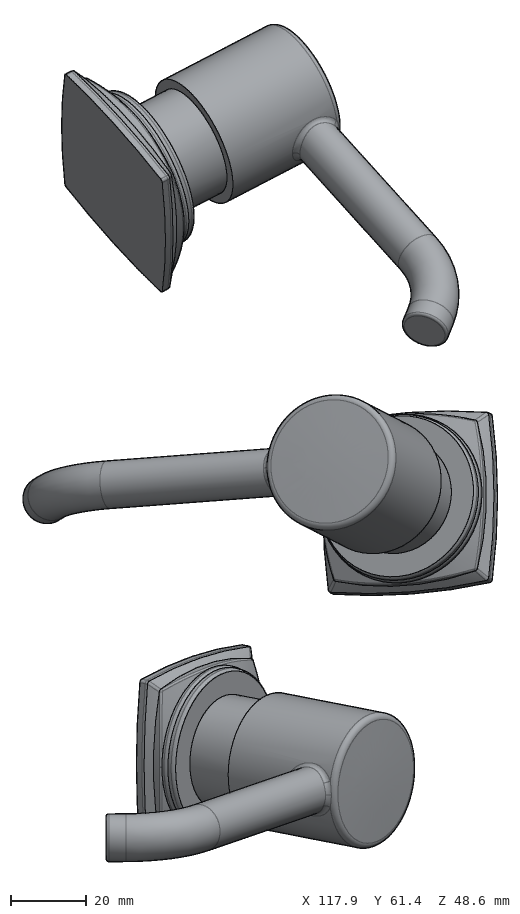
import math
import cadquery as cq


PLATE_HALF = 24.305
PLATE_BOW = 1.6
CORNER_RADIUS = 0.9
RIM_HEIGHT = 1.8
RIM_TOP = 2.5
RIM_TAPER = 0.1
SHOULDER_HEIGHT = 4.6
WALL_HALF = 22.9
WALL_BOW = 2.7
ARCH_FILLET = 0.6
PLATE_OUTLINE = (PLATE_HALF, PLATE_BOW)
RIM_TOP_OUTLINE = (PLATE_HALF - RIM_TAPER, PLATE_BOW)
WALL_OUTLINE = (WALL_HALF, WALL_BOW)

COLLAR_BASE = 7.15
COLLAR_BASE_RADIUS = 22.6
COLLAR_TIERS = [(7.85, 8.9, 22.25), (9.95, 11.0, 21.65)]
COLLAR_TOP = COLLAR_TIERS[-1][1]
SKIRT_RADIUS = 30.0
SKIRT_TOP = 7.4
SKIRT_TOP_RADIUS = 22.0

NECK_RADIUS = 15.4
HEAD_RADIUS = 18.2
HEAD_BOTTOM = 25.8
HEAD_SHOULDER = 60.9
HEAD_TOP = 61.37
HEAD_EDGE_RADIUS = 1.6

SPOUT_RADIUS = 6.35
SPOUT_HEIGHT = 52.6
BEND_START = 65.7
BEND_RADIUS = 25.4
BEND_ANGLE = 52.0
TIP_LENGTH = 5.2
TIP_FILLET = 0.7
SPOUT_FILLET = 1.4


def bowed_square(height, half, bow):
    """Closed wire at the given height: a square with bowed sides and rounded corners."""
    corner = half - bow
    corners = [(-corner, -corner), (corner, -corner), (corner, corner), (-corner, corner)]
    middles = [(0, -half), (half, 0), (0, half), (-half, 0)]
    sketch = cq.Workplane("XZ", origin=(0, height, 0)).moveTo(*corners[0])
    for index, middle in enumerate(middles):
        sketch = sketch.threePointArc(middle, corners[(index + 1) % len(corners)])
    wire = sketch.close().wire().val()
    return wire.fillet2D(CORNER_RADIUS, wire.Vertices())


def bowed_block(bottom, bottom_outline, top, top_outline):
    """Solid between two bowed squares, each outline given as (half width, bow)."""
    wires = [bowed_square(bottom, *bottom_outline), bowed_square(top, *top_outline)]
    return cq.Workplane(cq.Solid.makeLoft(wires, True))


def make_plate():
    rim = bowed_block(0, PLATE_OUTLINE, RIM_HEIGHT, PLATE_OUTLINE)
    taper = bowed_block(RIM_HEIGHT, PLATE_OUTLINE, RIM_TOP, RIM_TOP_OUTLINE)
    flare = bowed_block(RIM_TOP, RIM_TOP_OUTLINE, SHOULDER_HEIGHT, WALL_OUTLINE)
    return rim.union(taper).union(flare)


def make_skirt():
    """Upright bowed wall trimmed by a cone, which leaves an arch on each side."""
    wall = bowed_block(SHOULDER_HEIGHT, WALL_OUTLINE, SKIRT_TOP, WALL_OUTLINE)
    cone = (
        cq.Workplane("XY")
        .moveTo(0, SHOULDER_HEIGHT)
        .lineTo(SKIRT_RADIUS, SHOULDER_HEIGHT)
        .lineTo(SKIRT_TOP_RADIUS, SKIRT_TOP)
        .lineTo(0, SKIRT_TOP)
        .close()
        .revolve(360, (0, 0), (0, 1))
    )
    skirt = wall.intersect(cone)
    arches = skirt.faces("%CONE").edges("not %CIRCLE")
    return arches.fillet(ARCH_FILLET)


def make_body():
    """Collar, neck and domed pump head as one turned solid."""
    edge_start = HEAD_SHOULDER - HEAD_EDGE_RADIUS
    edge_end = HEAD_RADIUS - HEAD_EDGE_RADIUS
    crown_rise = HEAD_TOP - HEAD_SHOULDER
    dome_radius = (edge_end**2 + crown_rise**2) / (2 * crown_rise)
    profile = cq.Workplane("XY").moveTo(0, COLLAR_BASE)
    radius = COLLAR_BASE_RADIUS
    profile = profile.lineTo(radius, COLLAR_BASE)
    for round_start, top, top_radius in COLLAR_TIERS:
        rise = top - round_start
        inset = radius - top_radius
        round_radius = (rise**2 + inset**2) / (2 * inset)
        profile = profile.lineTo(radius, round_start)
        profile = profile.radiusArc((top_radius, top), -round_radius)
        radius = top_radius
    return (
        profile
        .lineTo(NECK_RADIUS, COLLAR_TOP)
        .lineTo(NECK_RADIUS, HEAD_BOTTOM)
        .lineTo(HEAD_RADIUS, HEAD_BOTTOM)
        .lineTo(HEAD_RADIUS, edge_start)
        .radiusArc((edge_end, HEAD_SHOULDER), -HEAD_EDGE_RADIUS)
        .radiusArc((0, HEAD_TOP), -dome_radius)
        .close()
        .revolve(360, (0, 0), (0, 1))
    )


def make_spout():
    """Round arm: straight, bent toward the base, then a short straight tip."""
    angle = math.radians(BEND_ANGLE)
    bend_middle = (
        BEND_START + BEND_RADIUS * math.sin(angle / 2),
        SPOUT_HEIGHT - BEND_RADIUS * (1 - math.cos(angle / 2)),
    )
    bend_end = (
        BEND_START + BEND_RADIUS * math.sin(angle),
        SPOUT_HEIGHT - BEND_RADIUS * (1 - math.cos(angle)),
    )
    tip = (
        bend_end[0] + TIP_LENGTH * math.cos(angle),
        bend_end[1] - TIP_LENGTH * math.sin(angle),
    )
    path = (
        cq.Workplane("XY")
        .moveTo(0, SPOUT_HEIGHT)
        .lineTo(BEND_START, SPOUT_HEIGHT)
        .threePointArc(bend_middle, bend_end)
        .lineTo(*tip)
    )
    arm = cq.Workplane("YZ").center(SPOUT_HEIGHT, 0).circle(SPOUT_RADIUS).sweep(path)
    tip_edge = cq.selectors.NearestToPointSelector((tip[0], tip[1], 0))
    return arm.faces(tip_edge).edges().fillet(TIP_FILLET)


def join_spout(body, spout):
    """Join the spout to the head and round the seam between them."""
    margin = SPOUT_FILLET
    seam_region = cq.selectors.BoxSelector(
        (HEAD_RADIUS / 2, SPOUT_HEIGHT - SPOUT_RADIUS - margin, -SPOUT_RADIUS - margin),
        (HEAD_RADIUS + margin, SPOUT_HEIGHT + SPOUT_RADIUS - margin / 2, SPOUT_RADIUS + margin),
    )
    return body.union(spout).edges(seam_region).fillet(SPOUT_FILLET)


head = join_spout(make_body(), make_spout())
result = make_plate().union(make_skirt()).union(head)